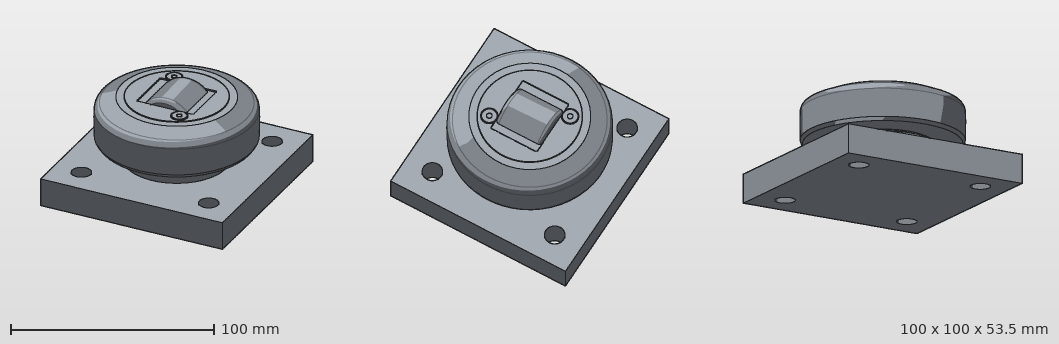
import cadquery as cq

PLATE_SIZE = 100.0
PLATE_THICKNESS = 15.0
MOUNT_HOLE_DIAMETER = 10.1
MOUNT_HOLE_SPACING = 70.0

NECK_DIAMETER = 54.0
NECK_CHAMFER = 1.0
NECK_TOP = 25.0

SPIGOT_RADIUS = 25.0
WHEEL_BOTTOM = 25.5
WHEEL_TOP = 48.8
RIM_RADIUS = 40.7
CROWN_RADIUS = 40.9
RIM_START = 27.3
RIM_END = 41.8
BOTTOM_EDGE = 1.2
SHOULDER_RADIUS = 38.1
SHOULDER_HEIGHT = 45.5
SHOULDER_MID_RADIUS = 39.9
SHOULDER_MID_HEIGHT = 44.2
TOP_FACE_RADIUS = 30.0

CAP_DIAMETER = 52.0
CAP_TOP = 49.2
CAP_CHAMFER = 0.2
WINDOW_LENGTH = 31.2
WINDOW_WIDTH = 26.4
WINDOW_CORNER = 0.8
WINDOW_FLOOR = 48.4

ROLLER_TOP = 53.5
ROLLER_RADIUS = 15.0
ROLLER_EDGE_FILLET = 2.1

SCREW_X = 10.0
SCREW_Y = 17.2
SCREW_HEAD_DIAMETER = 7.8
SCREW_RECESS_DIAMETER = 8.6
SCREW_RECESS_DEPTH = 0.4
SCREW_HEAD_RISE = 0.2
SCREW_SOCKET_DIAMETER = 2.8
SCREW_SOCKET_DEPTH = 0.4


def make_plate():
    plate = cq.Workplane("XY").box(PLATE_SIZE, PLATE_SIZE, PLATE_THICKNESS, centered=(True, True, False))
    return (
        plate.faces(">Z").workplane()
        .rect(MOUNT_HOLE_SPACING, MOUNT_HOLE_SPACING, forConstruction=True)
        .vertices().hole(MOUNT_HOLE_DIAMETER)
    )


def make_neck():
    neck = (
        cq.Workplane("XY").workplane(offset=PLATE_THICKNESS)
        .circle(NECK_DIAMETER / 2).extrude(NECK_TOP - PLATE_THICKNESS)
        .faces(">Z").chamfer(NECK_CHAMFER)
    )
    spigot = (
        cq.Workplane("XY").workplane(offset=PLATE_THICKNESS)
        .circle(SPIGOT_RADIUS).extrude(WHEEL_BOTTOM - PLATE_THICKNESS)
    )
    return neck.union(spigot)


def make_wheel():
    """Slightly crowned rim, rounded shoulder and conical upper side."""
    profile = (
        cq.Workplane("XZ")
        .moveTo(0, WHEEL_BOTTOM)
        .lineTo(RIM_RADIUS - BOTTOM_EDGE, WHEEL_BOTTOM)
        .lineTo(RIM_RADIUS, RIM_START)
        .threePointArc((CROWN_RADIUS, (RIM_START + RIM_END) / 2), (RIM_RADIUS, RIM_END))
        .threePointArc((SHOULDER_MID_RADIUS, SHOULDER_MID_HEIGHT), (SHOULDER_RADIUS, SHOULDER_HEIGHT))
        .lineTo(TOP_FACE_RADIUS, WHEEL_TOP)
        .lineTo(0, WHEEL_TOP)
        .close()
    )
    return profile.revolve(360, (0, 0, 0), (0, 1, 0))


def make_cap():
    return (
        cq.Workplane("XY").workplane(offset=WHEEL_TOP)
        .circle(CAP_DIAMETER / 2).extrude(CAP_TOP - WHEEL_TOP)
        .faces(">Z").chamfer(CAP_CHAMFER)
    )


def make_window():
    return (
        cq.Workplane("XY").workplane(offset=WINDOW_FLOOR)
        .rect(WINDOW_LENGTH, WINDOW_WIDTH).extrude(CAP_TOP - WINDOW_FLOOR)
        .edges("|Z").fillet(WINDOW_CORNER)
    )


def make_roller():
    """The part of the roller that stands above the window floor."""
    roller = (
        cq.Workplane("XZ", origin=(0, WINDOW_WIDTH / 2, ROLLER_TOP - ROLLER_RADIUS))
        .circle(ROLLER_RADIUS).extrude(WINDOW_WIDTH)
        .edges("%CIRCLE").fillet(ROLLER_EDGE_FILLET)
    )
    exposed = (
        cq.Workplane("XY").workplane(offset=WINDOW_FLOOR)
        .rect(WINDOW_LENGTH, WINDOW_WIDTH).extrude(ROLLER_TOP - WINDOW_FLOOR)
    )
    return roller.intersect(exposed)


def add_screws(body):
    """Socket screws in shallow recesses at two opposite places on the cap."""
    places = [(-SCREW_X, SCREW_Y), (SCREW_X, -SCREW_Y)]

    def discs(diameter, bottom, top):
        return (
            cq.Workplane("XY").workplane(offset=bottom)
            .pushPoints(places).circle(diameter / 2).extrude(top - bottom)
        )

    recess_floor = CAP_TOP - SCREW_RECESS_DEPTH
    head_top = CAP_TOP + SCREW_HEAD_RISE
    recesses = discs(SCREW_RECESS_DIAMETER, recess_floor, CAP_TOP)
    heads = discs(SCREW_HEAD_DIAMETER, recess_floor, head_top)
    sockets = discs(SCREW_SOCKET_DIAMETER, head_top - SCREW_SOCKET_DEPTH, head_top)
    return body.cut(recesses).union(heads).cut(sockets)


body = make_plate().union(make_neck()).union(make_wheel()).union(make_cap())
body = add_screws(body.cut(make_window()))
result = body.union(make_roller())